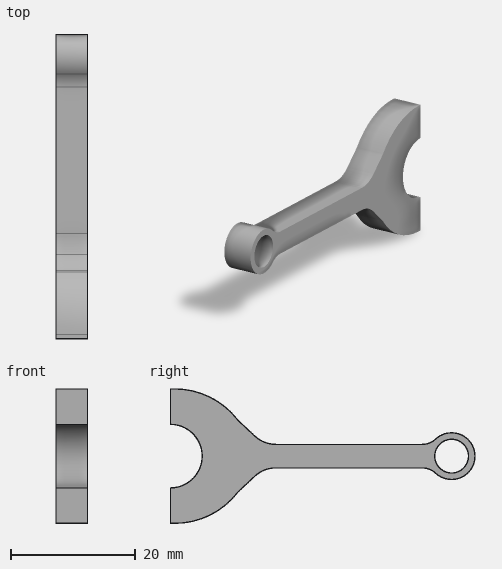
import cadquery as cq
import math

thickness = 5.1
length = 48.9
fork_half_height = 10.8
shank_half_height = 1.9

eye_radius = 3.75
eye_bore_radius = 2.7
eye_blend_radius = 3.15
eye_y = length - eye_radius

jaw_radius = 5.1
fork_tip_flat = 0.7
fork_arc_radius = 12.75
flank_corner_y = 10.85
flank_root_y = 14.95
flank_blend_radius = 4.9
shoulder_blend_radius = 2.2


def height_on_fork_arc(y):
    """Half height of the fork's outer arc at a given Y."""
    center_z = fork_half_height - fork_arc_radius
    return center_z + math.sqrt(fork_arc_radius**2 - (y - fork_tip_flat)**2)


def make_body():
    """Shank and flared fork, with the corners along each flank blended."""
    corner_z = height_on_fork_arc(flank_corner_y)
    middle_y = (fork_tip_flat + flank_corner_y) / 2
    middle_z = height_on_fork_arc(middle_y)
    half = (
        cq.Workplane("YZ")
        .moveTo(0, 0)
        .lineTo(0, fork_half_height)
        .lineTo(fork_tip_flat, fork_half_height)
        .threePointArc((middle_y, middle_z), (flank_corner_y, corner_z))
        .lineTo(flank_root_y, shank_half_height)
        .lineTo(eye_y, shank_half_height)
        .lineTo(eye_y, 0)
        .close()
        .extrude(thickness / 2, both=True)
    )
    half = half.edges(edge_at(flank_root_y, shank_half_height)).fillet(flank_blend_radius)
    half = half.edges(edge_at(flank_corner_y, corner_z)).fillet(shoulder_blend_radius)
    return half.union(half.mirror("XY"))


def edge_at(y, z):
    """Selector for the edge running along X through the point (y, z)."""
    return cq.selectors.NearestToPointSelector((0, y, z))


def cylinder(y, radius):
    """Cylinder along X through the full thickness, centred on Z = 0."""
    return cq.Workplane("YZ").center(y, 0).circle(radius).extrude(thickness / 2, both=True)


def add_eye(body):
    """Round eye, blended into the shank and bored through."""
    body = body.union(cylinder(eye_y, eye_radius))
    junction_y = eye_y - math.sqrt(eye_radius**2 - shank_half_height**2)
    for side in (1, -1):
        junction = edge_at(junction_y, side * shank_half_height)
        body = body.edges(junction).fillet(eye_blend_radius)
    return body.cut(cylinder(eye_y, eye_bore_radius))


result = add_eye(make_body()).cut(cylinder(0, jaw_radius))